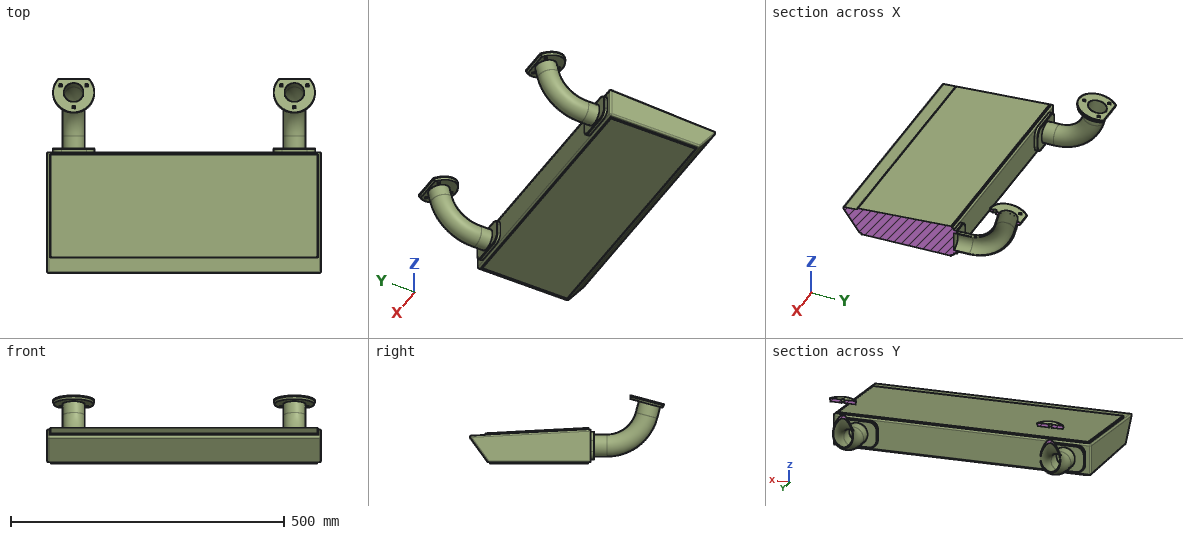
import cadquery as cq
import math

housing_width = 501.6
housing_depth = 224.2
housing_bottom = 2.5
tip_height = 51.2
top_slope = 3.0
front_face_angle = 54.0
housing_edge_radius = 3.0

lid_thickness = 3.0
lid_side_inset = 5.0
lid_back_inset = 3.5
lid_front_inset = 30.7
lid_edge_chamfer = 1.5
lid_corner_radius = 3.0
plate_side_inset = 7.0
plate_back_inset = 5.0
plate_front_inset = 4.0
plate_edge_chamfer = 1.0

pipe_spacing = 404.0
pipe_diameter = 41.0
pipe_bore = 36.0
pipe_height = 33.0
bend_start = 253.6
bend_radius = 75.0
bend_angle = 75.0
upper_straight = 27.85

wall_flange_width = 77.0
wall_flange_height = 51.0
wall_flange_thickness = 6.5
wall_flange_corner = 15.5
wall_flange_edge = 1.2

upper_flange_radius = 38.0
upper_flange_flat = 26.0
upper_flange_thickness = 7.0
upper_flange_top_chamfer = 0.5
upper_flange_taper_height = 4.5
upper_flange_taper_inset = 1.8
bolt_circle_radius = 27.5
bolt_hole_diameter = 5.5
bolt_hole_count = 3
first_bolt_angle = -90.0

slope_rise = math.tan(math.radians(top_slope))
undercut_run = (tip_height - housing_bottom) / math.tan(math.radians(front_face_angle))

pipe_start = cq.Plane(origin=(0, housing_depth, pipe_height), xDir=(1, 0, 0), normal=(0, 1, 0))


def make_housing():
    outline = [
        (0, tip_height),
        (undercut_run, housing_bottom),
        (housing_depth, housing_bottom),
        (housing_depth, tip_height + housing_depth * slope_rise),
    ]
    wedge = cq.Workplane("YZ").polyline(outline).close().extrude(housing_width / 2, both=True)
    return wedge.edges().fillet(housing_edge_radius)


def make_lid():
    """Lid lying on the sloping top of the housing."""
    slope = math.radians(top_slope)
    length = (housing_depth - lid_back_inset - lid_front_inset) / math.cos(slope)
    top_plane = cq.Plane(
        origin=(0, 0, tip_height),
        xDir=(1, 0, 0),
        normal=(0, -math.sin(slope), math.cos(slope)),
    )
    front = lid_front_inset / math.cos(slope)
    lid = (
        cq.Workplane(top_plane)
        .center(0, front + length / 2)
        .rect(housing_width - 2 * lid_side_inset, length)
        .extrude(lid_thickness)
        .edges(cq.selectors.ParallelDirSelector(top_plane.zDir))
        .fillet(lid_corner_radius)
    )
    top_face = cq.selectors.DirectionMinMaxSelector(top_plane.zDir, True)
    return lid.faces(top_face).chamfer(lid_edge_chamfer)


def make_bottom_plate():
    front = undercut_run + plate_front_inset
    back = housing_depth - plate_back_inset
    return (
        cq.Workplane("XY")
        .center(0, (front + back) / 2)
        .rect(housing_width - 2 * plate_side_inset, back - front)
        .extrude(housing_bottom)
        .faces("<Z")
        .chamfer(plate_edge_chamfer)
    )


def bend_end():
    angle = math.radians(bend_angle)
    return (
        bend_start + bend_radius * math.sin(angle),
        pipe_height + bend_radius * (1 - math.cos(angle)),
    )


def pipe_direction():
    angle = math.radians(bend_angle)
    return math.cos(angle), math.sin(angle)


def pipe_top():
    end_y, end_z = bend_end()
    along_y, along_z = pipe_direction()
    return end_y + upper_straight * along_y, end_z + upper_straight * along_z


def sweep_pipe(diameter):
    half_angle = math.radians(bend_angle / 2)
    bend_middle = (
        bend_start + bend_radius * math.sin(half_angle),
        pipe_height + bend_radius * (1 - math.cos(half_angle)),
    )
    path = (
        cq.Workplane("YZ")
        .moveTo(housing_depth, pipe_height)
        .lineTo(bend_start, pipe_height)
        .threePointArc(bend_middle, bend_end())
        .lineTo(*pipe_top())
    )
    return cq.Workplane(pipe_start).circle(diameter / 2).sweep(path)


def make_wall_flange():
    flange = (
        cq.Workplane(pipe_start)
        .rect(wall_flange_width, wall_flange_height)
        .extrude(wall_flange_thickness)
        .edges("|Y")
        .fillet(wall_flange_corner)
    )
    return flange.faces(">Y").edges().chamfer(wall_flange_edge)


def make_upper_flange():
    along_y, along_z = pipe_direction()
    top_y, top_z = pipe_top()
    face = cq.Plane(origin=(0, top_y, top_z), xDir=(1, 0, 0), normal=(0, along_y, along_z))
    flange = cq.Workplane(face).circle(upper_flange_radius).extrude(-upper_flange_thickness)
    beyond_flat = (
        cq.Workplane(face)
        .center(0, upper_flange_flat + upper_flange_radius)
        .rect(2 * upper_flange_radius, 2 * upper_flange_radius)
        .extrude(-upper_flange_thickness)
    )
    flange = flange.cut(beyond_flat)
    top_face = cq.selectors.DirectionMinMaxSelector(face.zDir, True)
    bottom_face = cq.selectors.DirectionMinMaxSelector(face.zDir, False)
    flange = flange.faces(top_face).chamfer(upper_flange_top_chamfer)
    flange = flange.faces(bottom_face).edges().chamfer(upper_flange_taper_height, upper_flange_taper_inset)
    holes = (
        cq.Workplane(face)
        .polarArray(bolt_circle_radius, first_bolt_angle, 360, bolt_hole_count)
        .circle(bolt_hole_diameter / 2)
        .extrude(-upper_flange_thickness)
    )
    return flange.cut(holes)


def make_support():
    pipe = sweep_pipe(pipe_diameter)
    return pipe.union(make_wall_flange()).union(make_upper_flange()).cut(sweep_pipe(pipe_bore))


result = make_housing().union(make_lid()).union(make_bottom_plate())
support = make_support()
for side in (-1, 1):
    result = result.union(support.translate((side * pipe_spacing / 2, 0, 0)))